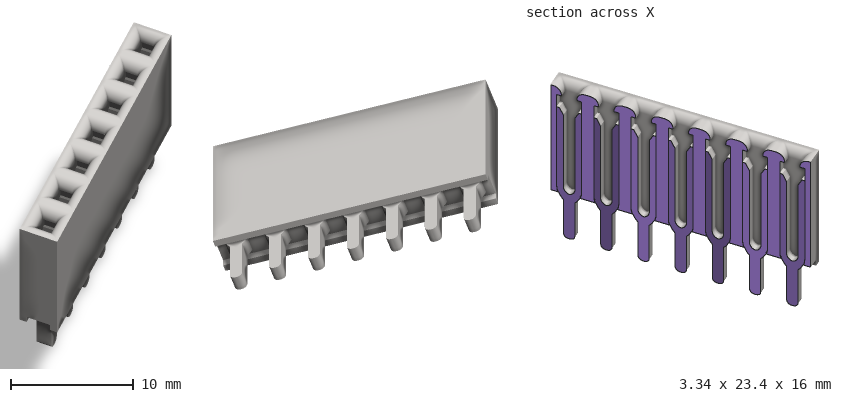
import cadquery as cq
import math

socket_count = 7
row_length = 23.35
pitch = row_length / socket_count
socket_positions = [(i - (socket_count - 1) / 2) * pitch for i in range(socket_count)]

housing_width = 3.34
housing_height = 11.97
notch_width = 2.1
notch_height = 0.65

throat_width = 1.35
throat_height = 0.15
funnel_radius = 0.77
mouth_width = throat_width + 2 * funnel_radius
funnel_bottom = housing_height - funnel_radius
cavity_top = funnel_bottom - throat_height

overall_height = 16.0
pin_length = overall_height - housing_height
pin_thickness = 1.05
tip_radius = 0.47
fork_width = 2.2
fork_base_radius = 1.95
fork_top = 9.8

slot_width = 0.98
slot_arc_radius = 0.63

lip_width = 0.37
lip_depth = 0.7

fork_base_height = math.sqrt(
    fork_base_radius**2 - (fork_base_radius - (fork_width - pin_thickness) / 2) ** 2
)


def point_on_arc(center_across, center_z, radius, degrees):
    """Point in an upright sketch plane; the angle counts from the horizontal axis towards +Z."""
    angle = math.radians(degrees)
    return center_across + radius * math.cos(angle), center_z + radius * math.sin(angle)


def mirrored(point):
    """The same point on the other side of the socket's middle plane."""
    return -point[0], point[1]


def block(width, depth, height, bottom):
    """Box centred on X and Y that stands on the given height."""
    return cq.Workplane("XY", origin=(0, 0, bottom)).box(
        width, depth, height, centered=(True, True, False)
    )


def fork_envelope(top):
    """Outer shape of the fork: rounded base below, upright sides up to the given height."""
    half_pin = pin_thickness / 2
    half_fork = fork_width / 2
    base_sweep = math.degrees(math.asin(fork_base_height / fork_base_radius))
    base_middle = point_on_arc(
        half_fork - fork_base_radius, fork_base_height, fork_base_radius, -base_sweep / 2
    )
    return (
        cq.Workplane("YZ")
        .moveTo(-half_pin, 0)
        .lineTo(half_pin, 0)
        .threePointArc(base_middle, (half_fork, fork_base_height))
        .lineTo(half_fork, top)
        .lineTo(-half_fork, top)
        .lineTo(-half_fork, fork_base_height)
        .threePointArc(mirrored(base_middle), (-half_pin, 0))
        .close()
        .extrude(throat_width / 2, both=True)
    )


def fork_slot():
    """Space between the arms, widened at the top by the bevelled lips."""
    half_slot = slot_width / 2
    half_lip_gap = half_slot + lip_width
    arc_center = half_slot - slot_arc_radius
    crease_angle = math.degrees(math.acos(-arc_center / slot_arc_radius))
    crease_height = fork_base_height - math.sqrt(slot_arc_radius**2 - arc_center**2)
    bottom_middle = point_on_arc(arc_center, fork_base_height, slot_arc_radius, -crease_angle / 2)
    lip_bottom = fork_top - lip_depth
    return (
        cq.Workplane("YZ")
        .moveTo(0, crease_height)
        .threePointArc(bottom_middle, (half_slot, fork_base_height))
        .lineTo(half_slot, lip_bottom)
        .lineTo(half_lip_gap, fork_top)
        .lineTo(-half_lip_gap, fork_top)
        .lineTo(-half_slot, lip_bottom)
        .lineTo(-half_slot, fork_base_height)
        .threePointArc(mirrored(bottom_middle), (0, crease_height))
        .close()
        .extrude(throat_width / 2, both=True)
    )


def make_contact(y):
    pin = block(throat_width, pin_thickness, pin_length, -pin_length)
    pin = pin.faces("<Z").edges("|X").fillet(tip_radius)
    contact = pin.union(fork_envelope(fork_top)).cut(fork_slot())
    return contact.translate((0, y, 0))


def funnel_profile(plane):
    """Prism whose two sides flare outwards as quarter rounds."""
    half_throat = throat_width / 2
    half_mouth = mouth_width / 2
    flare_middle = point_on_arc(half_mouth, funnel_bottom, funnel_radius, 135)
    return (
        cq.Workplane(plane)
        .moveTo(half_throat, funnel_bottom)
        .threePointArc(flare_middle, (half_mouth, housing_height))
        .lineTo(-half_mouth, housing_height)
        .threePointArc(mirrored(flare_middle), (-half_throat, funnel_bottom))
        .close()
        .extrude(half_mouth, both=True)
    )


def socket_opening():
    """Funnel, throat and contact cavity of one socket."""
    funnel = funnel_profile("XZ").intersect(funnel_profile("YZ"))
    throat = block(throat_width, throat_width, throat_height, cavity_top)
    return funnel.union(throat).union(fork_envelope(cavity_top))


def make_housing():
    body = block(housing_width, row_length, housing_height, 0)
    body = body.cut(block(notch_width, row_length, notch_height, 0))
    opening = socket_opening()
    for y in socket_positions:
        body = body.cut(opening.translate((0, y, 0)))
    return body


housing = make_housing()
contacts = [make_contact(y) for y in socket_positions]

result = cq.Compound.makeCompound([housing.val(), *[contact.val() for contact in contacts]])